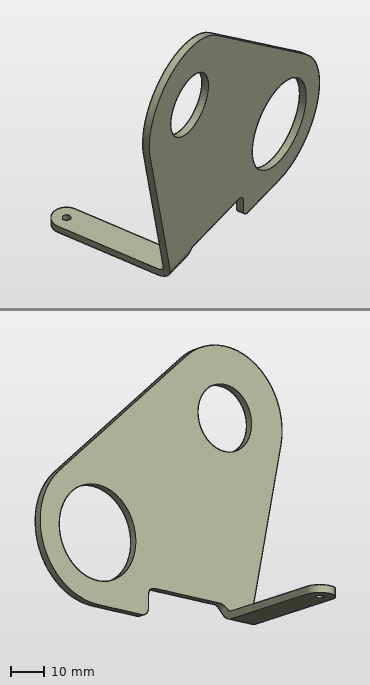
import cadquery as cq
import math

thickness = 2.5
total_width = 45.4
total_length = 95.0
total_height = 89.9
lobe_radius = 22.5
large_hole_diameter = 30.0
small_hole_diameter = 21.0
small_hole_y = -(total_length - 2 * lobe_radius)
small_hole_z = total_height - 2 * lobe_radius
edge_angle = math.radians(11.7)

foot_length = 20.0
notch_height = 9.1
corner_radius = 2.5
bend_radius = 2.5

arm_width = 9.5
arm_y = -55.3
arm_hole_diameter = 2.6

bottom_z = -lobe_radius
notch_y = -foot_length
notch_z = bottom_z + notch_height
outer_bend_radius = bend_radius + thickness
middle_bend_radius = bend_radius + thickness / 2
bend_x = -outer_bend_radius
arm_bottom_z = notch_z - outer_bend_radius
arm_left_y = arm_y + arm_width / 2
arm_right_y = arm_y - arm_width / 2

edge_reach = lobe_radius + (notch_z - small_hole_z) * math.sin(edge_angle)
edge_foot_y = small_hole_y - edge_reach / math.cos(edge_angle)


def lobe_point(center_y, center_z, angle):
    return (
        center_y + lobe_radius * math.cos(angle),
        center_z + lobe_radius * math.sin(angle),
    )


def make_plate():
    top_normal = math.atan2(small_hole_z, small_hole_y) - math.pi / 2
    side_normal = math.pi + edge_angle
    upper_middle = (top_normal + side_normal) / 2
    lower_middle = (top_normal - math.pi / 2) / 2
    outline = (
        cq.Workplane("YZ")
        .moveTo(0, bottom_z)
        .threePointArc(lobe_point(0, 0, lower_middle), lobe_point(0, 0, top_normal))
        .lineTo(*lobe_point(small_hole_y, small_hole_z, top_normal))
        .threePointArc(
            lobe_point(small_hole_y, small_hole_z, upper_middle),
            lobe_point(small_hole_y, small_hole_z, side_normal),
        )
        .lineTo(edge_foot_y, notch_z)
        .lineTo(notch_y, notch_z)
        .lineTo(notch_y, bottom_z)
        .close()
    )
    plate = outline.extrude(-thickness)
    for z in (notch_z, bottom_z):
        corner = cq.selectors.NearestToPointSelector((-thickness / 2, notch_y, z))
        plate = plate.edges("|X").edges(corner).fillet(corner_radius)
    large_hole = cq.Workplane("YZ").circle(large_hole_diameter / 2).extrude(-thickness)
    small_hole = (
        cq.Workplane("YZ")
        .center(small_hole_y, small_hole_z)
        .circle(small_hole_diameter / 2)
        .extrude(-thickness)
    )
    return plate.cut(large_hole).cut(small_hole)


def outside_of(side_curve, outward):
    """Waste on the outer side of a bent side face; outward is +1 or -1 along Y.

    side_curve(t), for t from 0 to 1, gives Y and the distance below the bend line along
    the unfolded sheet. The side face stays radial to the bend axis.
    """
    def wrapped_edge(radius):
        def point(t):
            y, distance = side_curve(t)
            angle = distance / middle_bend_radius
            return (bend_x + radius * math.cos(angle), y, notch_z - radius * math.sin(angle))
        return cq.Workplane("XY").parametricCurve(point, N=40, makeWire=False).val()

    inner_edge = wrapped_edge(bend_radius / 2)
    outer_edge = wrapped_edge(outer_bend_radius + thickness)
    side = cq.Face.makeRuledSurface(inner_edge, outer_edge)
    return cq.Workplane(cq.Solid.extrudeLinear(side, cq.Vector(0, outward * arm_width, 0)))


def relief_side(t):
    angle = t * math.pi / 2
    y = arm_left_y + corner_radius * (1 - math.sin(angle))
    return y, corner_radius * (1 - math.cos(angle))


def leaning_side(t):
    y = edge_foot_y + t * (arm_right_y - edge_foot_y)
    return y, (y - edge_foot_y) / math.tan(edge_angle)


def straight_side(y, start):
    bend_length = middle_bend_radius * math.pi / 2
    return lambda t: (y, start + t * (bend_length - start))


def make_bend():
    quarter = math.sqrt(0.5)
    relief_start_y, _ = relief_side(0)
    strip = (
        cq.Workplane("XZ", origin=(0, relief_start_y, 0))
        .moveTo(0, notch_z)
        .threePointArc(
            (bend_x + outer_bend_radius * quarter, notch_z - outer_bend_radius * quarter),
            (bend_x, arm_bottom_z),
        )
        .lineTo(bend_x, arm_bottom_z + thickness)
        .threePointArc(
            (bend_x + bend_radius * quarter, notch_z - bend_radius * quarter),
            (-thickness, notch_z),
        )
        .close()
        .extrude(relief_start_y - edge_foot_y)
    )
    _, relief_end = relief_side(1)
    _, leaning_end = leaning_side(1)
    return (
        strip.cut(outside_of(relief_side, 1))
        .cut(outside_of(straight_side(arm_left_y, relief_end), 1))
        .cut(outside_of(leaning_side, -1))
        .cut(outside_of(straight_side(arm_right_y, leaning_end), -1))
    )


def make_arm():
    tip_center_x = -total_width + arm_width / 2
    return (
        cq.Workplane("XY", origin=(0, 0, arm_bottom_z))
        .moveTo(bend_x, arm_left_y)
        .lineTo(tip_center_x, arm_left_y)
        .threePointArc((-total_width, arm_y), (tip_center_x, arm_right_y))
        .lineTo(bend_x, arm_right_y)
        .close()
        .moveTo(tip_center_x, arm_y)
        .circle(arm_hole_diameter / 2)
        .extrude(thickness)
    )


result = make_plate().union(make_bend()).union(make_arm())